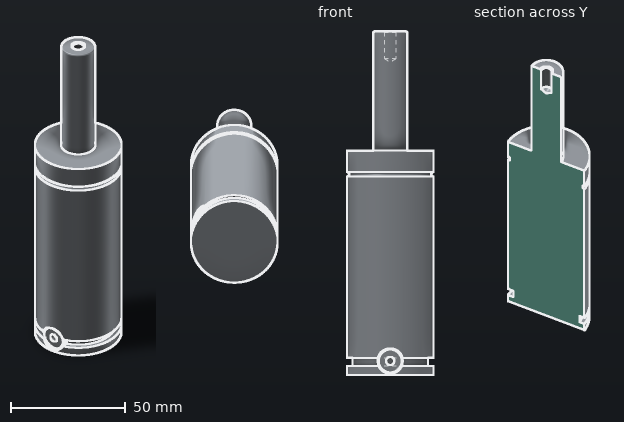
import cadquery as cq
import math

total_height = 150.0
body_diameter = 38.0
body_height = 98.0
body_radius = body_diameter / 2

rod_diameter = 15.0
rod_edge_radius = 0.9
rod_hole_diameter = 5.0
rod_hole_mouth_diameter = 6.0
rod_hole_depth = 12.0
drill_point_angle = 118.0

clamp_groove_bottom = 4.0
clamp_groove_top = 7.5
clamp_groove_diameter = 33.0
round_groove_radius = 0.98
round_groove_height = 87.6

port_height = 6.2
port_diameter = 11.0
port_face_diameter = 10.0
port_face_offset = 18.0
port_root_offset = 12.0
port_hole_diameter = 3.6
port_hole_depth = 3.0


def make_body():
    """Revolve the cylinder with its clamping groove and half-round groove."""
    groove_radius = clamp_groove_diameter / 2
    return (
        cq.Workplane("XZ")
        .lineTo(body_radius, 0)
        .lineTo(body_radius, clamp_groove_bottom)
        .lineTo(groove_radius, clamp_groove_bottom)
        .lineTo(groove_radius, clamp_groove_top)
        .lineTo(body_radius, clamp_groove_top)
        .lineTo(body_radius, round_groove_height - round_groove_radius)
        .threePointArc(
            (body_radius - round_groove_radius, round_groove_height),
            (body_radius, round_groove_height + round_groove_radius),
        )
        .lineTo(body_radius, body_height)
        .lineTo(0, body_height)
        .close()
        .revolve(360, (0, 0, 0), (0, 1, 0))
    )


def make_rod():
    """Make the rod with a rounded top edge."""
    return (
        cq.Workplane("XY", origin=(0, 0, body_height))
        .circle(rod_diameter / 2)
        .extrude(total_height - body_height)
        .faces(">Z")
        .edges()
        .fillet(rod_edge_radius)
    )


def make_rod_hole():
    """Make the countersunk blind hole with a conical drill point."""
    radius = rod_hole_diameter / 2
    mouth_radius = rod_hole_mouth_diameter / 2
    countersink_depth = mouth_radius - radius
    floor = total_height - rod_hole_depth
    point_depth = radius / math.tan(math.radians(drill_point_angle / 2))
    return (
        cq.Workplane("XZ")
        .moveTo(0, total_height)
        .lineTo(mouth_radius, total_height)
        .lineTo(radius, total_height - countersink_depth)
        .lineTo(radius, floor)
        .lineTo(0, floor - point_depth)
        .close()
        .revolve(360, (0, 0, 0), (0, 1, 0))
    )


def port_cylinder(diameter, outer_offset, inner_offset):
    """Make a cylinder on the port axis between two distances from the body axis."""
    return (
        cq.Workplane("XZ", origin=(0, -inner_offset, port_height))
        .circle(diameter / 2)
        .extrude(outer_offset - inner_offset)
    )


def add_port(body):
    """Spot-face the body and fit a chamfered plug that bridges the clamping groove."""
    seat = port_cylinder(port_diameter, body_radius, port_root_offset)
    edge_chamfer = (port_diameter - port_face_diameter) / 2
    plug = port_cylinder(port_diameter, port_face_offset, port_root_offset)
    plug = plug.faces("<Y").edges().chamfer(edge_chamfer)
    hole = port_cylinder(port_hole_diameter, port_face_offset, port_face_offset - port_hole_depth)
    return body.cut(seat).union(plug).cut(hole)


result = add_port(make_body()).union(make_rod()).cut(make_rod_hole())